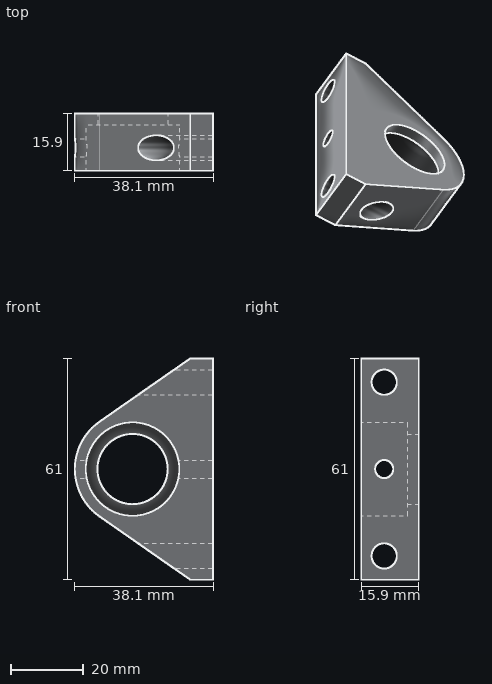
import cadquery as cq
import math

height = 60.95
depth = 15.85
nose_radius = 15.9
bore_to_base = 22.2
base_edge = 6.3

bore_radius = 12.85
lip_radius = 9.65
bore_depth = 12.7

cross_hole_y = 6.35
mount_hole_diameter = 6.9
mount_hole_spacing = 47.8
pin_hole_diameter = 4.95


def make_body():
    """Rounded nose with flanks running tangentially to the base corners."""
    corner_x = bore_to_base - base_edge
    corner_z = height / 2
    corner_distance = math.hypot(corner_x, corner_z)
    tangent_angle = math.atan2(corner_z, corner_x) + math.acos(nose_radius / corner_distance)
    tangent_x = nose_radius * math.cos(tangent_angle)
    tangent_z = nose_radius * math.sin(tangent_angle)
    return (
        cq.Workplane("XZ")
        .moveTo(bore_to_base, -corner_z)
        .lineTo(bore_to_base, corner_z)
        .lineTo(corner_x, corner_z)
        .lineTo(tangent_x, tangent_z)
        .threePointArc((-nose_radius, 0), (tangent_x, -tangent_z))
        .lineTo(corner_x, -corner_z)
        .close()
        .extrude(-depth)
    )


def make_bore():
    """Wide front bore followed by a smaller through opening."""
    wide_bore = cq.Workplane("XZ").circle(bore_radius).extrude(-bore_depth)
    lip_opening = cq.Workplane("XZ").circle(lip_radius).extrude(-depth)
    return wide_bore.union(lip_opening)


def make_cross_hole(diameter, z):
    """Hole along X through the full width."""
    return (
        cq.Workplane("YZ", origin=(-nose_radius, 0, 0))
        .center(cross_hole_y, z)
        .circle(diameter / 2)
        .extrude(nose_radius + bore_to_base)
    )


result = make_body().cut(make_bore())
result = result.cut(make_cross_hole(pin_hole_diameter, 0))
for side in (-1, 1):
    result = result.cut(make_cross_hole(mount_hole_diameter, side * mount_hole_spacing / 2))